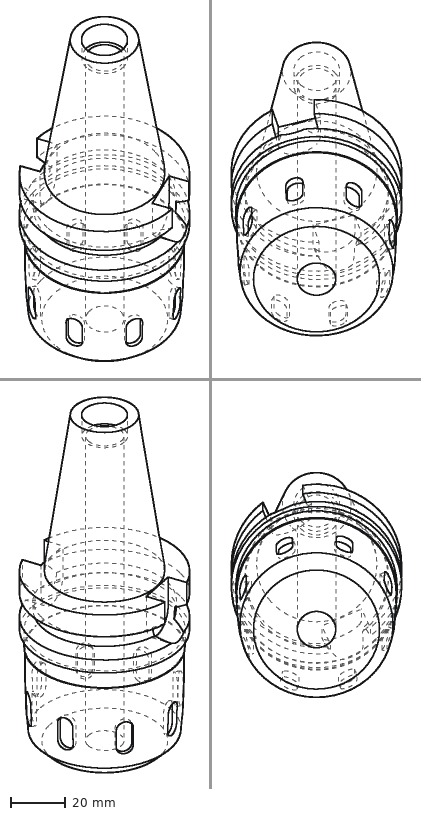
import cadquery as cq
import math


gauge_radius = 44.45 / 2
taper_length = 65.4
taper_ratio = 7 / 24
small_end_radius = gauge_radius - taper_length * taper_ratio / 2

flange_radius = 63 / 2
flange_top_z = -2.0
flange_bottom_z = -27.0
groove_floor_radius = 53 / 2
groove_middle_z = -16.45
groove_floor_width = 4.2
groove_wall_angle = 30
groove_wall_height = (flange_radius - groove_floor_radius) * math.tan(math.radians(groove_wall_angle))
groove_floor_top_z = groove_middle_z + groove_floor_width / 2
groove_floor_bottom_z = groove_middle_z - groove_floor_width / 2

keyway_count = 2
keyway_width = 16.1
keyway_floor_x = 22.5
keyway_bottom_z = -22.8

collar_radius = 29.8
collar_bottom_z = -34.6
nut_radius = 29.45
nut_taper_top_z = -48.9
nut_taper_radius = 29.0
relief_top_z = -62.0
relief_bottom_z = -64.2
nose_top_radius = 28.75
nose_bottom_radius = 28.3
bottom_z = -75.0
nose_chamfer = 5.0
nose_chamfer_z = bottom_z + nose_chamfer
nose_face_radius = nose_bottom_radius - nose_chamfer

wrench_slot_count = 8
wrench_slot_width = 6.5
wrench_slot_length = 14.0
wrench_slot_top_z = -50.0
wrench_slot_floor_radius = 27.0

bore_radius = 14.2 / 2
counterbore_radius = 17 / 2
counterbore_depth = 9.0


def make_body():
    """Revolve the outer profile around the Z axis."""
    profile = [
        (0, taper_length),
        (small_end_radius, taper_length),
        (gauge_radius, 0),
        (gauge_radius, flange_top_z),
        (flange_radius, flange_top_z),
        (flange_radius, groove_floor_top_z + groove_wall_height),
        (groove_floor_radius, groove_floor_top_z),
        (groove_floor_radius, groove_floor_bottom_z),
        (flange_radius, groove_floor_bottom_z - groove_wall_height),
        (flange_radius, flange_bottom_z),
        (collar_radius, flange_bottom_z),
        (collar_radius, collar_bottom_z),
        (nut_radius, collar_bottom_z),
        (nut_radius, nut_taper_top_z),
        (nut_taper_radius, relief_top_z),
        (nose_top_radius, relief_bottom_z),
        (nose_bottom_radius, nose_chamfer_z),
        (nose_face_radius, bottom_z),
        (0, bottom_z),
    ]
    return cq.Workplane("XZ").polyline(profile).close().revolve(360, (0, 0), (0, 1))


def make_bore():
    """Through bore with a counterbore at the small end of the taper."""
    bore = cq.Workplane("XY", origin=(0, 0, bottom_z)).circle(bore_radius).extrude(taper_length - bottom_z)
    counterbore = (
        cq.Workplane("XY", origin=(0, 0, taper_length)).circle(counterbore_radius).extrude(-counterbore_depth)
    )
    return bore.union(counterbore)


def make_keyway():
    """Keyway cutter on the +X side, open at the flange top with a round lower end."""
    half_width = keyway_width / 2
    arc_centre_z = keyway_bottom_z + half_width
    return (
        cq.Workplane("YZ", origin=(keyway_floor_x, 0, 0))
        .moveTo(-half_width, flange_top_z)
        .lineTo(-half_width, arc_centre_z)
        .threePointArc((0, keyway_bottom_z), (half_width, arc_centre_z))
        .lineTo(half_width, flange_top_z)
        .close()
        .extrude(flange_radius - keyway_floor_x)
    )


def make_wrench_slot():
    """Flat-floored upright slot cutter on the +X side of the nut."""
    return (
        cq.Workplane("YZ", origin=(wrench_slot_floor_radius, 0, wrench_slot_top_z - wrench_slot_length / 2))
        .slot2D(wrench_slot_length, wrench_slot_width, 90)
        .extrude(nut_radius - wrench_slot_floor_radius)
    )


def cut_around_axis(body, cutter, count):
    """Cut equally spaced copies of the cutter around the Z axis."""
    for index in range(count):
        body = body.cut(cutter.rotate((0, 0, 0), (0, 0, 1), index * 360 / count))
    return body


result = make_body().cut(make_bore())
result = cut_around_axis(result, make_keyway(), keyway_count)
result = cut_around_axis(result, make_wrench_slot(), wrench_slot_count)